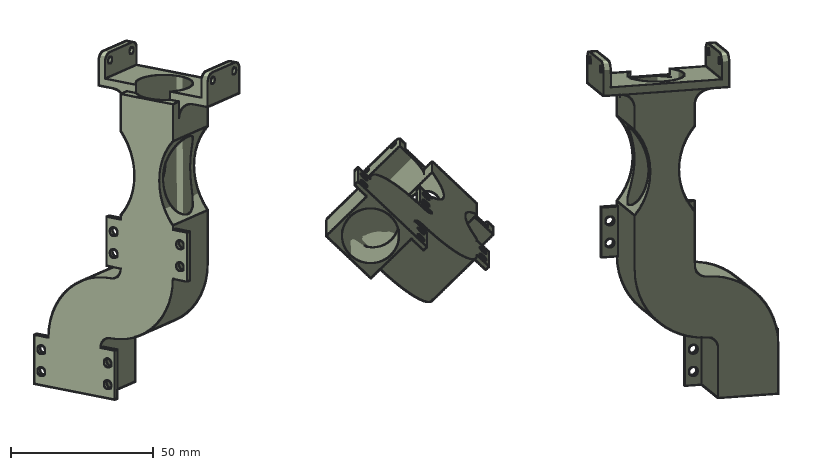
import cadquery as cq
import math

BODY_WIDTH = 22.0
HALF_BODY = BODY_WIDTH / 2
BORE_RADIUS = 10.0
FRONT_Y = -HALF_BODY

FLANGE_WIDTH = 34.0
FLANGE_HEIGHT = 18.0
FLANGE_THICKNESS = 1.75
FLANGE_HOLE_DIAMETER = 3.2
FLANGE_HOLE_PITCH_X = 28.0
FLANGE_HOLE_PITCH_Z = 8.0

BEND_RADIUS = 15.25
BEND_OUTER = BEND_RADIUS + HALF_BODY
BEND_INNER = BEND_RADIUS - HALF_BODY
FOOT_X = -2 * BEND_RADIUS
BEND_START_Z = FLANGE_HEIGHT
BEND_MID_Z = BEND_START_Z + BEND_RADIUS
COLUMN_Z = BEND_START_Z + 2 * BEND_RADIUS
COLUMN_TOP_Z = 112.5

UPPER_LEFT = 135
LOWER_RIGHT = -45

WAIST_WIDTH = 10.5
WAIST_Z = 83.5
WAIST_LENGTH = 30.8
WAIST_BOTTOM_Z = WAIST_Z - WAIST_LENGTH / 2
WAIST_TOP_Z = WAIST_Z + WAIST_LENGTH / 2

BRACKET_LENGTH = 46.0
BRACKET_DEPTH = 20.0
BRACKET_HEIGHT = 12.0
BRACKET_WALL = 3.0
EAR_THICKNESS = 2.7
BRACKET_OVERHANG = 2.0
BRACKET_BACK_Y = HALF_BODY + BRACKET_OVERHANG
BRACKET_FRONT_Y = BRACKET_BACK_Y - BRACKET_DEPTH
BRACKET_TOP_Z = COLUMN_TOP_Z + BRACKET_HEIGHT
EAR_CORNER_RADIUS = 3.0
EAR_HOLE_DIAMETER = 2.5
EAR_HOLE_PITCH = 13.5
EAR_HOLE_DROP = 3.0
WEB_RADIUS = 6.0


def arc_middle(center_x, center_z, radius, angle):
    """Point on a circle in a vertical profile plane at the given angle in degrees."""
    turn = math.radians(angle)
    return (center_x + radius * math.cos(turn), center_z + radius * math.sin(turn))


def make_body():
    """S-shaped block with a scalloped waist, centred on Y = 0."""
    bend_x = -BEND_RADIUS
    half_waist = WAIST_WIDTH / 2
    outline = (
        cq.Workplane("XZ")
        .moveTo(FOOT_X - HALF_BODY, 0)
        .lineTo(FOOT_X + HALF_BODY, 0)
        .lineTo(FOOT_X + HALF_BODY, BEND_START_Z)
        .threePointArc(
            arc_middle(bend_x, BEND_START_Z, BEND_INNER, UPPER_LEFT),
            (bend_x, BEND_START_Z + BEND_INNER),
        )
        .threePointArc(arc_middle(bend_x, COLUMN_Z, BEND_OUTER, LOWER_RIGHT), (HALF_BODY, COLUMN_Z))
        .lineTo(HALF_BODY, WAIST_BOTTOM_Z)
        .threePointArc((half_waist, WAIST_Z), (HALF_BODY, WAIST_TOP_Z))
        .lineTo(HALF_BODY, COLUMN_TOP_Z)
        .lineTo(-HALF_BODY, COLUMN_TOP_Z)
        .lineTo(-HALF_BODY, WAIST_TOP_Z)
        .threePointArc((-half_waist, WAIST_Z), (-HALF_BODY, WAIST_BOTTOM_Z))
        .lineTo(-HALF_BODY, COLUMN_Z)
        .threePointArc(
            arc_middle(bend_x, COLUMN_Z, BEND_INNER, LOWER_RIGHT),
            (bend_x, COLUMN_Z - BEND_INNER),
        )
        .threePointArc(
            arc_middle(bend_x, BEND_START_Z, BEND_OUTER, UPPER_LEFT),
            (FOOT_X - HALF_BODY, BEND_START_Z),
        )
        .close()
    )
    return outline.extrude(HALF_BODY, both=True)


def make_flange(center_x, bottom_z):
    """Flat plate flush with the front of the body."""
    return (
        cq.Workplane("XY")
        .box(FLANGE_WIDTH, FLANGE_THICKNESS, FLANGE_HEIGHT, centered=(True, False, False))
        .translate((center_x, FRONT_Y, bottom_z))
    )


def make_flange_holes(center_x, bottom_z):
    """Four drills through a flange, clear of the body beside them."""
    return (
        cq.Workplane("XZ", origin=(center_x, FRONT_Y, bottom_z + FLANGE_HEIGHT / 2))
        .rarray(FLANGE_HOLE_PITCH_X, FLANGE_HOLE_PITCH_Z, 2, 2)
        .circle(FLANGE_HOLE_DIAMETER / 2)
        .extrude(-FLANGE_THICKNESS)
    )


def make_bracket():
    """Plate with two upright, rounded and drilled ears."""
    center_y = (BRACKET_FRONT_Y + BRACKET_BACK_Y) / 2
    bracket = (
        cq.Workplane("XY", origin=(0, center_y, COLUMN_TOP_Z))
        .box(BRACKET_LENGTH, BRACKET_DEPTH, BRACKET_HEIGHT, centered=(True, True, False))
        .edges("|X and >Z")
        .fillet(EAR_CORNER_RADIUS)
    )
    channel = (
        cq.Workplane("XY", origin=(0, center_y, COLUMN_TOP_Z + BRACKET_WALL))
        .box(
            BRACKET_LENGTH - 2 * EAR_THICKNESS,
            BRACKET_DEPTH,
            BRACKET_HEIGHT,
            centered=(True, True, False),
        )
    )
    ear_holes = (
        cq.Workplane("YZ", origin=(0, center_y, BRACKET_TOP_Z - EAR_HOLE_DROP))
        .rarray(EAR_HOLE_PITCH, 1, 2, 1)
        .circle(EAR_HOLE_DIAMETER / 2)
        .extrude(BRACKET_LENGTH, both=True)
    )
    return bracket.cut(channel).cut(ear_holes)


def flared_profile(plane, inner_edge, reach):
    """Column section from an inner edge outwards, flaring by a concave arc to the bracket."""
    drop = math.sqrt(WEB_RADIUS**2 - (WEB_RADIUS - reach) ** 2)
    arc_half_angle = math.degrees(math.asin(drop / WEB_RADIUS)) / 2
    center = HALF_BODY + WEB_RADIUS
    center_z = COLUMN_TOP_Z - drop
    return (
        cq.Workplane(plane)
        .moveTo(inner_edge, WAIST_TOP_Z)
        .lineTo(inner_edge, COLUMN_TOP_Z)
        .lineTo(HALF_BODY + reach, COLUMN_TOP_Z)
        .threePointArc(
            arc_middle(center, center_z, WEB_RADIUS, 180 - arc_half_angle),
            (HALF_BODY, center_z),
        )
        .lineTo(HALF_BODY, WAIST_TOP_Z)
        .close()
    )


def make_webs():
    """Concave webs under the bracket at both sides and the back, mitred at the corners."""
    right_half = (
        flared_profile("XZ", 0, WEB_RADIUS)
        .extrude(BRACKET_DEPTH)
        .translate((0, BRACKET_BACK_Y, 0))
    )
    side_flare = right_half.union(right_half.mirror("YZ"))
    back_flare = flared_profile("YZ", BRACKET_FRONT_Y, BRACKET_OVERHANG).extrude(
        BRACKET_LENGTH / 2, both=True
    )
    return side_flare.intersect(back_flare)


def make_bore():
    """Round passage that follows the centreline from the foot to the bracket."""
    centreline = (
        cq.Workplane("XZ")
        .moveTo(FOOT_X, 0)
        .lineTo(FOOT_X, BEND_START_Z)
        .threePointArc(
            arc_middle(-BEND_RADIUS, BEND_START_Z, BEND_RADIUS, UPPER_LEFT),
            (-BEND_RADIUS, BEND_MID_Z),
        )
        .threePointArc(
            arc_middle(-BEND_RADIUS, COLUMN_Z, BEND_RADIUS, LOWER_RIGHT),
            (0, COLUMN_Z),
        )
        .lineTo(0, BRACKET_TOP_Z)
    )
    return cq.Workplane("XY", origin=(FOOT_X, 0, 0)).circle(BORE_RADIUS).sweep(centreline)


result = make_body().union(make_bracket()).union(make_webs())
flange_places = [(FOOT_X, 0), (0, COLUMN_Z)]
for place in flange_places:
    result = result.union(make_flange(*place)).cut(make_flange_holes(*place))
result = result.cut(make_bore())